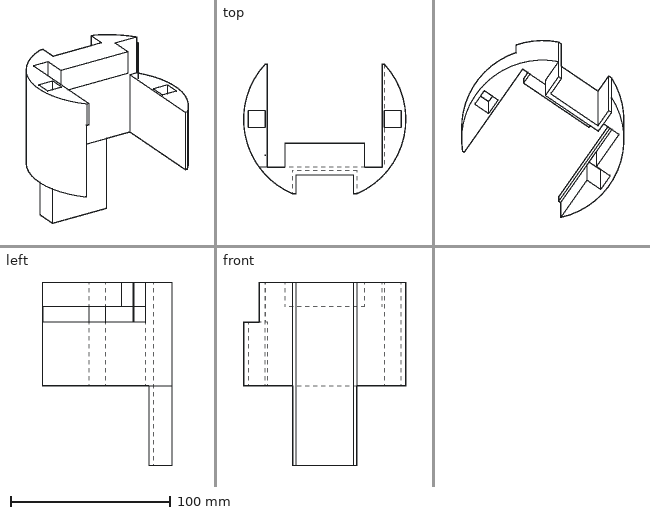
import cadquery as cq

BODY_RADIUS = 51.0
BODY_HEIGHT = 65.0
FRONT_Y = -46.83
BODY_DEPTH = 81.48
BACK_Y = FRONT_Y + BODY_DEPTH

SLOT_HALF_WIDTH = 36.0
SLOT_FLOOR_Y = -30.0
BLOCK_HALF_WIDTH = 25.0
BLOCK_BACK_Y = -15.0
BLOCK_HEIGHT = 15.0

TOTAL_HEIGHT = 115.0
POST_HALF_WIDTH = 20.2
POST_DEPTH = 14.6
CHANNEL_HALF_WIDTH = 18.0
CHANNEL_FLOOR_Y = -35.0

HOLE_SIZE = 10.5
HOLE_INNER_X = 37.5
HOLE_FRONT_Y = -5.0

LEFT_CHEEK_DROP = 25.0
RIGHT_LIP_HEIGHT = BLOCK_HEIGHT
RIGHT_RECESS_X = HOLE_INNER_X

SLIVER_WIDTH = 0.15
SLIVER_DEPTH = 0.5
SLIVER_X = -37.4
SLIVER_Y = -22.55
SLIVER_ROOT = 1.0


def box(x_min, x_max, y_min, y_max, z_min, z_max):
    """Axis-aligned box between the given limits."""
    return (
        cq.Workplane("XY")
        .box(x_max - x_min, y_max - y_min, z_max - z_min, centered=False)
        .translate((x_min, y_min, z_min))
    )


def centred_box(half_width, y_min, y_max, z_min, z_max):
    """Box that is symmetric about the YZ plane."""
    return box(-half_width, half_width, y_min, y_max, z_min, z_max)


def round_body():
    """Cylinder with flats across its front and back."""
    cylinder = cq.Workplane("XY").workplane(offset=-BODY_HEIGHT).circle(BODY_RADIUS).extrude(BODY_HEIGHT)
    return cylinder.intersect(centred_box(BODY_RADIUS, FRONT_Y, BACK_Y, -BODY_HEIGHT, 0))


def slot():
    """Space between the cheeks, less the block at the top of its floor."""
    opening = centred_box(SLOT_HALF_WIDTH, SLOT_FLOOR_Y, BACK_Y, -BODY_HEIGHT, 0)
    block = centred_box(BLOCK_HALF_WIDTH, SLOT_FLOOR_Y, BLOCK_BACK_Y, -BLOCK_HEIGHT, 0)
    return opening.cut(block)


def post():
    """Rectangular post below the body."""
    return centred_box(POST_HALF_WIDTH, FRONT_Y, FRONT_Y + POST_DEPTH, -TOTAL_HEIGHT, -BODY_HEIGHT)


def channel():
    """Groove along the front, from the top of the body to the foot of the post."""
    return centred_box(CHANNEL_HALF_WIDTH, FRONT_Y, CHANNEL_FLOOR_Y, -TOTAL_HEIGHT, 0)


def cheek_hole(inner_x, outer_x):
    """Square hole through the full height of one cheek."""
    x_min, x_max = sorted((inner_x, outer_x))
    return box(x_min, x_max, HOLE_FRONT_Y, HOLE_FRONT_Y + HOLE_SIZE, -BODY_HEIGHT, 0)


def left_cheek_cut():
    """Material taken off the top of the left cheek."""
    return box(-BODY_RADIUS, -SLOT_HALF_WIDTH, SLOT_FLOOR_Y, BACK_Y, -LEFT_CHEEK_DROP, 0)


def right_recess():
    """Shallow step in the inner face of the right cheek, below its lip."""
    return box(SLOT_HALF_WIDTH, RIGHT_RECESS_X, SLOT_FLOOR_Y, BACK_Y, -BODY_HEIGHT, -RIGHT_LIP_HEIGHT)


def sliver():
    """Thin upright from the lowered left cheek to the level of the body's top face."""
    root_z = -LEFT_CHEEK_DROP - SLIVER_ROOT
    return box(
        SLIVER_X - SLIVER_WIDTH / 2,
        SLIVER_X + SLIVER_WIDTH / 2,
        SLIVER_Y - SLIVER_DEPTH / 2,
        SLIVER_Y + SLIVER_DEPTH / 2,
        root_z,
        0,
    )


result = round_body().cut(slot()).union(post()).cut(channel())
for side in (-1, 1):
    result = result.cut(cheek_hole(side * HOLE_INNER_X, side * (HOLE_INNER_X + HOLE_SIZE)))
result = result.cut(left_cheek_cut()).cut(right_recess()).union(sliver())